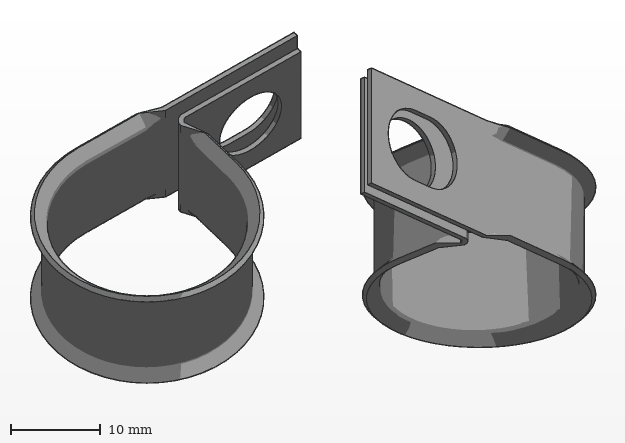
import cadquery as cq
import math

sheet = 0.65
band_outer = 11.75
band_inner = band_outer - sheet
strip_width = 14.25
half_width = strip_width / 2

flare_angle = math.radians(45)
rim_diameter = 26.05
rim_radius = rim_diameter / 2
rim_bend_inner = 0.3
rim_bend_outer = rim_bend_inner + sheet

ring_angle = 270

side_run = 8.6
taper = 2.55
overall_length = 42.8
side_leg_end = overall_length - rim_radius
top_leg_end = 28.6
top_leg_x = -9.6
leg_bend_outer = 1.3
leg_bend_inner = leg_bend_outer - sheet

hole_y = 21.5
hole_diameter = 8.7
slot_length = 11.13

sine = math.sin(flare_angle)
cosine = math.cos(flare_angle)
rim_tip_z = half_width - sheet * sine
corner_z = rim_tip_z - (rim_radius - band_outer) / math.tan(flare_angle)
bend_z = corner_z - rim_bend_inner * math.tan(flare_angle / 2)
bend_center_r = band_outer + rim_bend_inner


def bend_point(radius, angle):
    return (bend_center_r - radius * math.cos(angle), bend_z + radius * math.sin(angle))


def rim_section(plane):
    """Closed wire of the flared rim, from the end of the flat band to the edge."""
    return (
        cq.Workplane(plane)
        .moveTo(band_outer, bend_z)
        .threePointArc(bend_point(rim_bend_inner, flare_angle / 2), bend_point(rim_bend_inner, flare_angle))
        .lineTo(rim_radius, rim_tip_z)
        .lineTo(rim_radius - sheet * cosine, half_width)
        .lineTo(*bend_point(rim_bend_outer, flare_angle))
        .threePointArc(bend_point(rim_bend_outer, flare_angle / 2), (band_inner, bend_z))
        .close()
    )


def flat_section(plane):
    """Flat strip edge with one side for each side of the rim section."""
    outer_step = bend_point(rim_bend_inner, flare_angle)[1]
    inner_step = bend_point(rim_bend_outer, flare_angle)[1]
    return (
        cq.Workplane(plane)
        .moveTo(band_outer, bend_z)
        .lineTo(band_outer, outer_step)
        .lineTo(band_outer, half_width)
        .lineTo(band_inner, half_width)
        .lineTo(band_inner, inner_step)
        .lineTo(band_inner, bend_z)
        .close()
    )


def side_plane(y):
    """Section plane across the side run: local x points outward (-X), local y is Z."""
    return cq.Plane(origin=(0, y, 0), xDir=(-1, 0, 0), normal=(0, 1, 0))


def straight_rim(run):
    """Upper rim along the side run, tapering to the flat leg."""
    rim = rim_section(side_plane(0)).extrude(run)
    sections = [rim_section(side_plane(run)).val(), flat_section(side_plane(run + taper)).val()]
    return rim.union(cq.Workplane(cq.Solid.makeLoft(sections, True)))


def swap_sides(body):
    """Reflect in the plane y = -x, which carries the side run onto the top run."""
    return body.mirror("XZ").rotate((0, 0, 0), (0, 0, 1), -90)


def both_edges(body):
    return body.union(body.mirror("XY"))


def strip(x_min, x_max, y_min, y_max, half_height):
    size = (x_max - x_min, y_max - y_min, 2 * half_height)
    return cq.Workplane("XY").box(*size, centered=False).translate((x_min, y_min, -half_height))


ring_rim = rim_section(side_plane(0)).revolve(ring_angle, (0, 0, 0), (0, 1, 0))
ring_band = (
    cq.Workplane("XY").circle(band_outer).circle(band_inner).extrude(2 * bend_z)
    .translate((0, 0, -bend_z))
    .cut(strip(-band_outer, 0, 0, band_outer, half_width))
)

side_flat = side_run + taper
side_leg = strip(-band_outer, -band_inner, 0, side_flat, bend_z).union(
    strip(-band_outer, -band_inner, side_flat, side_leg_end, half_width)
)

bend_x = top_leg_x + leg_bend_outer
bend_y = band_inner + leg_bend_outer
leg_bend = (
    cq.Workplane("XY").circle(leg_bend_outer).circle(leg_bend_inner).extrude(2 * half_width)
    .translate((bend_x, bend_y, -half_width))
    .intersect(strip(top_leg_x, bend_x, band_inner, bend_y, half_width))
)
top_leg = (
    strip(bend_x, 0, band_inner, band_outer, bend_z)
    .union(leg_bend)
    .union(strip(top_leg_x, top_leg_x + sheet, bend_y, top_leg_end, half_width))
)

hole_plane = cq.Plane(origin=(-band_outer, hole_y, 0), xDir=(0, 1, 0), normal=(1, 0, 0))
side_leg = side_leg.cut(cq.Workplane(hole_plane).slot2D(slot_length, hole_diameter).extrude(sheet))
top_leg = top_leg.cut(cq.Workplane(hole_plane).circle(hole_diameter / 2).extrude(band_outer))

rims = ring_rim.union(straight_rim(side_run)).union(swap_sides(straight_rim(-bend_x - taper)))
result = ring_band.union(side_leg).union(top_leg).union(both_edges(rims))